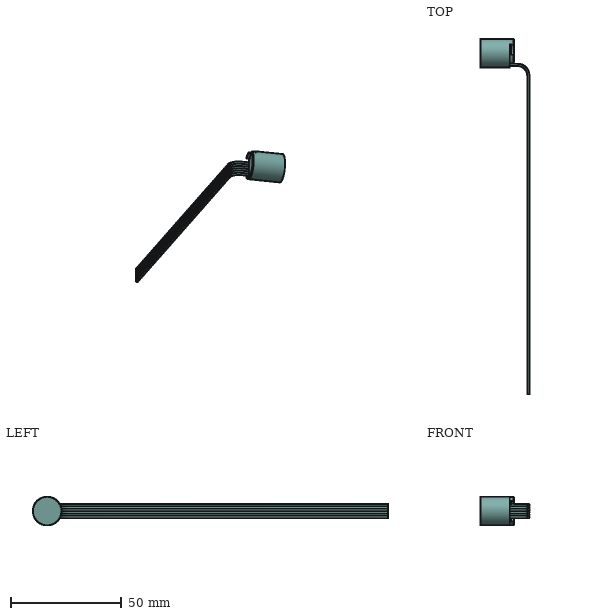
import cadquery as cq
import math

HOUSING_DIAMETER = 13.0
HOUSING_RADIUS = HOUSING_DIAMETER / 2
HOUSING_LENGTH = 15.3
RECESS_DEPTH = 2.1
RIM_WALL = 0.6
RIM_CHAMFER = 0.5
RECESS_RADIUS = HOUSING_RADIUS - RIM_WALL
RECESS_FLOOR_X = HOUSING_LENGTH - RECESS_DEPTH

RIM_SPLIT_Y = -0.6
TOP_WINDOW_Y_MAX = 3.9
CABLE_WINDOW_HALF_WIDTH = 4.7

PLATE_THICKNESS = 0.6
PLATE_FLAT_Y = -4.5

WIRE_COUNT = 6
WIRE_RADIUS = 0.56
WIRE_PITCH = 1.1
CABLE_EXIT_Y = -5.3
BEND_RADIUS = 4.7
CABLE_OUTER_X = 22.2
OVERALL_LENGTH_Y = 161.1
CABLE_RUN_X = CABLE_OUTER_X - WIRE_RADIUS
CABLE_TIP_Y = HOUSING_RADIUS - OVERALL_LENGTH_Y


def disc(radius, start_x, thickness):
    """Solid disc centred on the X axis."""
    return cq.Workplane("YZ", origin=(start_x, 0, 0)).circle(radius).extrude(thickness)


def recess_block(y_min, y_max, z_min=-HOUSING_RADIUS, z_max=HOUSING_RADIUS):
    """Block as deep as the recess, for cutting the rim and the plate."""
    size = (RECESS_DEPTH, y_max - y_min, z_max - z_min)
    return cq.Workplane("XY", origin=(RECESS_FLOOR_X, y_min, z_min)).box(*size, centered=False)


def make_rim():
    """Full rim ring with its chamfered outer edge."""
    ring = disc(HOUSING_RADIUS, RECESS_FLOOR_X, RECESS_DEPTH).faces(">X").chamfer(RIM_CHAMFER)
    return ring.cut(disc(RECESS_RADIUS, RECESS_FLOOR_X, RECESS_DEPTH))


def make_housing():
    """Solid can with the +Y part of the rim, open at the top."""
    can = disc(HOUSING_RADIUS, 0, RECESS_FLOOR_X)
    cap_side = recess_block(-HOUSING_RADIUS, RIM_SPLIT_Y)
    top_window = recess_block(RIM_SPLIT_Y, TOP_WINDOW_Y_MAX, z_min=0)
    return can.union(make_rim().cut(cap_side).cut(top_window))


def make_end_cap():
    """Plate with two rim lugs, one on each side of the cable."""
    plate = disc(RECESS_RADIUS, RECESS_FLOOR_X, PLATE_THICKNESS)
    plate = plate.cut(recess_block(-HOUSING_RADIUS, PLATE_FLAT_Y))
    housing_side = recess_block(RIM_SPLIT_Y, HOUSING_RADIUS)
    cable_window = recess_block(
        -HOUSING_RADIUS, RIM_SPLIT_Y, -CABLE_WINDOW_HALF_WIDTH, CABLE_WINDOW_HALF_WIDTH
    )
    lugs = make_rim().cut(housing_side).cut(cable_window)
    return plate.union(lugs)


def cable_section():
    """Closed outline of the ribbon: one arc per wire on each side, a round arc at each end."""
    half_pitch = WIRE_PITCH / 2
    half_web = math.sqrt(WIRE_RADIUS**2 - half_pitch**2)
    last_wire_z = (WIRE_COUNT - 1) / 2 * WIRE_PITCH
    inner_wires_z = [i * WIRE_PITCH - last_wire_z for i in range(1, WIRE_COUNT - 1)]

    outline = cq.Workplane("YZ", origin=(RECESS_FLOOR_X, CABLE_EXIT_Y, 0))
    outline = outline.moveTo(-half_web, half_pitch - last_wire_z)
    for z in inner_wires_z:
        outline = outline.threePointArc((-WIRE_RADIUS, z), (-half_web, z + half_pitch))
    outline = outline.threePointArc((0, last_wire_z + WIRE_RADIUS), (half_web, last_wire_z - half_pitch))
    for z in reversed(inner_wires_z):
        outline = outline.threePointArc((WIRE_RADIUS, z), (half_web, z - half_pitch))
    outline = outline.threePointArc((0, -last_wire_z - WIRE_RADIUS), (-half_web, half_pitch - last_wire_z))
    return outline.close()


def make_cable():
    """Ribbon that leaves the housing along +X, bends a quarter turn and runs along -Y."""
    path = (
        cq.Workplane("XY")
        .moveTo(RECESS_FLOOR_X, CABLE_EXIT_Y)
        .lineTo(CABLE_RUN_X - BEND_RADIUS, CABLE_EXIT_Y)
        .radiusArc((CABLE_RUN_X, CABLE_EXIT_Y - BEND_RADIUS), BEND_RADIUS)
        .lineTo(CABLE_RUN_X, CABLE_TIP_Y)
    )
    return cable_section().sweep(path)


housing = make_housing()
end_cap = make_end_cap()
cable = make_cable()

result = cq.Compound.makeCompound([*housing.solids().vals(), *end_cap.solids().vals(), cable.val()])